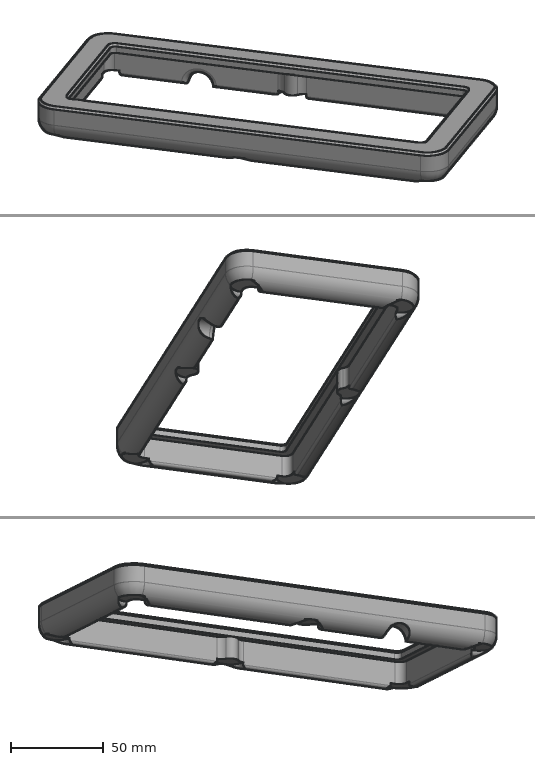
import cadquery as cq

length = 232.0
width = 108.1
height = 20.5
corner_radius = 12.0
top_chamfer = 1.5
bottom_round = 9.7

lip_border = 15.0
lip_thickness = 5.0
lip_corner_radius = 2.8
lip_underside = height - lip_thickness

wall_thickness = 10.7
wall_round = 1.6
recess_corner_radius = 4.6
recess_length = length - 2 * wall_thickness
recess_width = width - 2 * wall_thickness

boss_inset = 10.2
boss_radius = 4.6
boss_blend = 5.3

pocket_inset = boss_inset
pocket_radius = 7.7
pocket_depth = 3.0
pocket_round = 2.8

notch_x = -(length / 2 - boss_inset) / 2
notch_radius = 7.2
notch_round = 2.8

plate_depth = 2.3
joint_tolerance = 0.02


def rounded_block(size_x, size_y, radius, bottom, top):
    """Upright block centred on Z with rounded vertical edges."""
    block = cq.Workplane("XY").workplane(offset=bottom).rect(size_x, size_y).extrude(top - bottom)
    return block.edges("|Z").fillet(radius)


def flare_base(cutter, radius):
    """Widen a cutter that stands on Z = 0, so that it leaves a rounded rim."""
    plate = cq.Workplane("XY").rect(4 * length, 4 * length).extrude(-plate_depth)
    joint = cq.selectors.BoxSelector(
        (-length, -length, -joint_tolerance), (length, length, joint_tolerance)
    )
    return plate.union(cutter).edges(joint).fillet(radius)


def frame_body():
    """Frame with its window cut and both top edges chamfered."""
    size_x = length - 2 * lip_border
    size_y = width - 2 * lip_border
    window = rounded_block(size_x, size_y, lip_corner_radius, 0, height)
    body = rounded_block(length, width, corner_radius, 0, height)
    body = body.faces("<Z").edges().fillet(bottom_round)
    return body.cut(window).faces(">Z").chamfer(top_chamfer)


def recess():
    """Recess below the lip, with the two bosses left standing above the pockets."""
    lower = rounded_block(recess_length, recess_width, recess_corner_radius, 0, pocket_depth)
    upper = rounded_block(
        recess_length, recess_width, recess_corner_radius, pocket_depth, lip_underside
    )
    boss_y = width / 2 - boss_inset
    bosses = (
        cq.Workplane("XY")
        .pushPoints([(0, -boss_y), (0, boss_y)])
        .circle(boss_radius)
        .extrude(height)
    )
    beside_bosses = cq.selectors.BoxSelector(
        (-2 * boss_radius, -width, 0), (2 * boss_radius, width, height)
    )
    upper = upper.cut(bosses).edges("|Z").edges(beside_bosses).fillet(boss_blend)
    return flare_base(lower, wall_round).union(upper)


def pockets():
    """Six round pockets, one under each boss and one at each corner."""
    x = length / 2 - pocket_inset
    y = width / 2 - pocket_inset
    places = [(side_x * x, side_y * y) for side_x in (-1, 0, 1) for side_y in (-1, 1)]
    cylinders = cq.Workplane("XY").pushPoints(places).circle(pocket_radius).extrude(pocket_depth)
    return flare_base(cylinders, pocket_round)


def cable_notch():
    """Arch along Y whose rim is rounded where it meets the recess."""
    rim_radius = notch_radius + notch_round
    profile = (
        cq.Workplane("XY")
        .lineTo(rim_radius, 0)
        .radiusArc((notch_radius, notch_round), notch_round)
        .lineTo(notch_radius, wall_thickness)
        .lineTo(0, wall_thickness)
        .close()
    )
    arch = profile.revolve(360, (0, 0), (0, 1))
    return arch.translate((notch_x, recess_width / 2, 0))


result = frame_body().cut(recess()).cut(pockets()).cut(cable_notch())